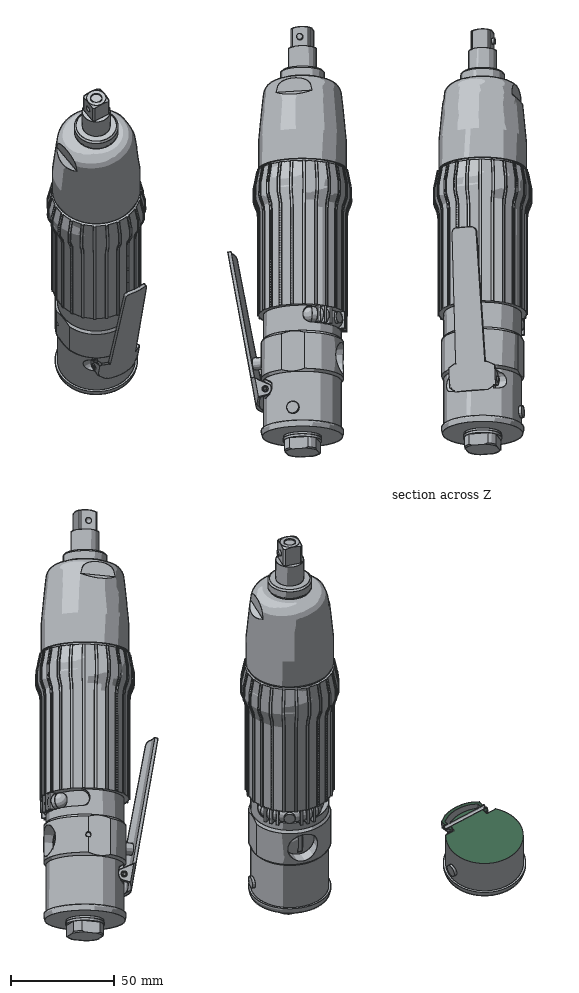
import cadquery as cq
import math

HEIGHT = 212.0
BODY_R = 18.9
BAND_R = 20.0
GRIP_R = 21.2
BULGE_R = 23.3
BULGE_FLARE = 0.5
BULGE_SHOULDER_DROP = 0.5
RIB_HEIGHT = 0.53
RIB_WIDTH = 1.3
RIB_COUNT = 23
OVERLAP = 1.0

INLET_SQUARE_TOP = 5.7
INLET_TOP = 8.0
FLANGE_TOP = 11.0
BAND_BOTTOM = 35.5
BAND_TOP = 56.2
GRIP_BOTTOM = 68.7
GRIP_TOP = 117.5
BULGE_BOTTOM = 120.8
LOWER_SHOULDER = 124.0
CROWN_BOTTOM = 127.8
CROWN_TOP = 131.2
UPPER_SHOULDER = 133.7
BULGE_TOP = 140.3
NOSE_BOTTOM = 141.5
TAPER_BOTTOM = 156.2
TAPER_TOP = 179.0
NOSE_TOP = 185.0
COLLAR_TOP = 190.7
SHAFT_TOP = 201.7

INLET_R = 9.1
INLET_END_R = 8.5
INLET_COLLAR_R = 9.3
INLET_COLLAR_TOP = 7.0
INLET_SQUARE = 15.7
DRIVE_R = 6.1
DRIVE_END_R = 4.7
DRIVE_SQUARE = 9.5
END_CHAMFER = 0.6
DRIVE_DIMPLE_R = 2.8
DRIVE_DIMPLE_DEPTH = 0.6
DETENT_R = 1.5
DETENT_Z = 206.5
DETENT_REACH = 1.3

SHAFT_R = 6.8
COLLAR_R = 10.5
COLLAR_CHAMFER = 0.8
COLLAR_FOOT_R = 10.0
COLLAR_FOOT_TOP = 186.0
NOSE_FACE_R = 13.1
NOSE_SHOULDER_R = 18.9
NOSE_MID_R = 20.1
NECK_R = 20.3
SPANNER_FLAT_Y = 17.0
SPANNER_FLAT_Z = 176.3
SPANNER_LEDGE_SLOPE = 40.0

BAND_CHAMFER = 1.3
BAND_FLAT_Y = 19.0
FLANGE_CHAMFER = 0.53
FLANGE_CHAMFER_Z = 2.0
BAND_Z = (BAND_BOTTOM + BAND_TOP) / 2
VALVE_BORE_R = 7.6
VALVE_FLOOR_X = 13.5
VALVE_DOME_RISE = 2.1
VALVE_SLOT_LENGTH = 11.9
VALVE_SLOT_WIDTH = 2.3
VALVE_SLOT_DEPTH = 1.7
MARK_R = 1.3
MARK_DEPTH = 1.7
BUTTON_R = 3.0
BUTTON_END_X = 24.2
EXHAUST_STUD_R = 3.0
EXHAUST_STUD_Z = 17.5
EXHAUST_STUD_REACH = 1.3

SLOT_HEIGHT = 8.3
SLOT_Z = GRIP_BOTTOM - SLOT_HEIGHT / 2
SLOT_END_R = 4.0
SLOT_FLOOR_R = 16.5
SLOT_START = 117.0
SLOT_END = 243.0
SLIDER_END = 203.0
SLIDER_RIB_R = 21.5
SLIDER_RIB_ANGLES = (16, 25, 34)
SLIDER_RIB_WIDTH = 1.3
SLIDER_KNOB_R = 2.8

PIVOT_X = 15.7
PIVOT_Z = 29.9
LEVER_TILT = 10.25
LEVER_BACK = 7.8
LEVER_BOTTOM = -5.5
LEVER_TIP = 74.2
LEVER_THICKNESS = 1.7
LEVER_CROWN = 1.3
LEVER_BASE_HALF = 7.5
LEVER_TIP_HALF = 6.0
LEVER_TIP_FILLET = 2.5
EAR_FACE = 11.5
EAR_BEND = 4.0
EAR_R = 3.0
EAR_SLOPE = 120.0
CHANNEL_TOP = 8.3
POCKET_GAP = 1.3
PIN_R = 1.5
PIN_BORE_R = 0.8
PIN_REACH = 12.0


def ring(r, bottom, top):
    """Cylinder on the tool axis between two levels."""
    return cq.Workplane("XY").workplane(offset=bottom).circle(r).extrude(top - bottom)


def radial_prism(sketch_radius, angle, z, inner, outer):
    """Round peg pointing outward at an angle from +X."""
    direction = cq.Vector(math.cos(math.radians(angle)), math.sin(math.radians(angle)), 0)
    start = direction * inner + cq.Vector(0, 0, z)
    return cq.Workplane(cq.Solid.makeCylinder(sketch_radius, outer - inner, start, direction))


def square_end(r, width, bottom, top, end_face, end_r):
    """Square stub whose corners are rounded by a chamfered cylinder."""
    square = cq.Workplane("XY").workplane(offset=bottom).rect(width, width).extrude(top - bottom)
    return ring(r, bottom, top).faces(end_face).chamfer(END_CHAMFER, r - end_r).intersect(square)


def trace_grip(path, lift):
    """Continue a path up the grip and over the hand stop, lifted off the surface by an amount."""
    flare = GRIP_R + BULGE_FLARE + lift
    shoulder = BULGE_R - BULGE_SHOULDER_DROP + lift
    crown = BULGE_R + lift
    return (
        path.lineTo(GRIP_R + lift, GRIP_BOTTOM)
        .lineTo(GRIP_R + lift, GRIP_TOP)
        .lineTo(flare, BULGE_BOTTOM)
        .lineTo(shoulder, LOWER_SHOULDER)
        .tangentArcPoint((crown, CROWN_BOTTOM), relative=False)
        .lineTo(crown, CROWN_TOP)
        .tangentArcPoint((shoulder, UPPER_SHOULDER), relative=False)
        .lineTo(flare, BULGE_TOP)
    )


def turned_body():
    """Everything turned about the tool axis, from the inlet shoulder to the top of the shaft."""
    taper_mid = (TAPER_BOTTOM + TAPER_TOP) / 2
    outline = (
        cq.Workplane("XZ")
        .moveTo(0, INLET_SQUARE_TOP)
        .lineTo(INLET_COLLAR_R, INLET_SQUARE_TOP)
        .lineTo(INLET_COLLAR_R, INLET_COLLAR_TOP)
        .lineTo(INLET_R, INLET_COLLAR_TOP)
        .lineTo(INLET_R, INLET_TOP)
        .lineTo(BAND_R - FLANGE_CHAMFER, INLET_TOP)
        .lineTo(BAND_R, INLET_TOP + FLANGE_CHAMFER_Z)
        .lineTo(BAND_R, FLANGE_TOP)
        .lineTo(BODY_R, FLANGE_TOP)
        .lineTo(BODY_R, BAND_BOTTOM)
        .lineTo(BAND_R, BAND_BOTTOM + BAND_CHAMFER)
        .lineTo(BAND_R, BAND_TOP - BAND_CHAMFER)
        .lineTo(BODY_R, BAND_TOP)
        .lineTo(BODY_R, GRIP_BOTTOM)
    )
    outline = (
        trace_grip(outline, 0)
        .lineTo(NECK_R, BULGE_TOP)
        .lineTo(NECK_R, NOSE_BOTTOM)
        .lineTo(GRIP_R, NOSE_BOTTOM)
        .lineTo(GRIP_R, TAPER_BOTTOM)
        .threePointArc((NOSE_MID_R, taper_mid), (NOSE_SHOULDER_R, TAPER_TOP))
        .tangentArcPoint((NOSE_FACE_R, NOSE_TOP), relative=False)
        .lineTo(COLLAR_FOOT_R, NOSE_TOP)
        .lineTo(COLLAR_FOOT_R, COLLAR_FOOT_TOP)
        .lineTo(COLLAR_R, COLLAR_FOOT_TOP)
        .lineTo(COLLAR_R, COLLAR_TOP - COLLAR_CHAMFER)
        .lineTo(COLLAR_R - COLLAR_CHAMFER, COLLAR_TOP)
        .lineTo(SHAFT_R, COLLAR_TOP)
        .lineTo(SHAFT_R, SHAFT_TOP)
        .lineTo(0, SHAFT_TOP)
        .close()
    )
    return outline.revolve(360, (0, 0, 0), (0, 1, 0))


def grip_ribs():
    """Thin ribs along the grip and over the hand stop."""
    root = GRIP_R - OVERLAP
    blade = (
        trace_grip(cq.Workplane("XZ").moveTo(root, GRIP_BOTTOM), RIB_HEIGHT)
        .lineTo(root, BULGE_TOP)
        .close()
        .extrude(RIB_WIDTH / 2, both=True)
    )
    ribs = cq.Workplane("XY")
    for i in range(RIB_COUNT):
        ribs = ribs.add(blade.rotate((0, 0, 0), (0, 0, 1), 90 + i * 360 / RIB_COUNT))
    return ribs


def curved_slot(inner, outer, start, end):
    """Ring segment with rounded ends, bent around the tool axis at the slot's level."""
    middle_r = (inner + outer) / 2
    tip = math.degrees(SLOT_HEIGHT / 2 / BODY_R)
    return (
        cq.Workplane("XZ")
        .center(middle_r, SLOT_Z)
        .rect(outer - inner, SLOT_HEIGHT)
        .revolve(end - start + 2 * tip, (-middle_r, 0, 0), (-middle_r, 1, 0))
        .edges("#Z and %LINE")
        .fillet(SLOT_END_R)
        .rotate((0, 0, 0), (0, 0, 1), start - tip)
    )


def slider():
    """Reversing slider: a rounded bar on the slot floor, with finger ribs and a round knob."""
    bar = (
        cq.Workplane("XZ")
        .center(SLOT_FLOOR_R, SLOT_Z)
        .circle(SLOT_HEIGHT / 2)
        .revolve(SLIDER_END - SLOT_START, (-SLOT_FLOOR_R, 0, 0), (-SLOT_FLOOR_R, 1, 0))
        .rotate((0, 0, 0), (0, 0, 1), SLOT_START)
    )
    for angle in (SLOT_START, SLIDER_END):
        end_ball = cq.Workplane("XY").sphere(SLOT_END_R).translate((SLOT_FLOOR_R, 0, SLOT_Z))
        bar = bar.union(end_ball.rotate((0, 0, 0), (0, 0, 1), angle))
    bar = bar.cut(ring(SLOT_FLOOR_R, SLOT_Z - SLOT_HEIGHT, SLOT_Z + SLOT_HEIGHT))
    middle = (SLOT_START + SLIDER_END) / 2
    rib_length = SLIDER_RIB_R - SLOT_FLOOR_R
    rib = cq.Workplane("XY").box(rib_length, SLIDER_RIB_WIDTH, SLOT_HEIGHT)
    rib = rib.translate(((SLIDER_RIB_R + SLOT_FLOOR_R) / 2, 0, SLOT_Z))
    for offset in SLIDER_RIB_ANGLES:
        for side in (-1, 1):
            bar = bar.union(rib.rotate((0, 0, 0), (0, 0, 1), middle + side * offset))
    return bar.union(radial_prism(SLIDER_KNOB_R, middle, SLOT_Z, SLOT_FLOOR_R, SLIDER_RIB_R))


def spanner_cut(side):
    """Spanner flat on one side of the nose, with a ledge that slopes down outward."""
    ledge_drop = (GRIP_R - SPANNER_FLAT_Y) * math.tan(math.radians(SPANNER_LEDGE_SLOPE))
    return (
        cq.Workplane("YZ")
        .moveTo(side * SPANNER_FLAT_Y, NOSE_TOP)
        .lineTo(side * SPANNER_FLAT_Y, SPANNER_FLAT_Z)
        .lineTo(side * GRIP_R, SPANNER_FLAT_Z - ledge_drop)
        .lineTo(side * GRIP_R, NOSE_TOP)
        .close()
        .extrude(GRIP_R, both=True)
    )


def valve_bore():
    """Bore on the -X side whose floor is a slotted dome."""
    dome_r = (VALVE_BORE_R ** 2 + VALVE_DOME_RISE ** 2) / (2 * VALVE_DOME_RISE)
    apex = VALVE_FLOOR_X + VALVE_DOME_RISE
    dome = cq.Workplane("XY").sphere(dome_r).translate((dome_r - apex, 0, BAND_Z))
    slot = (
        cq.Workplane("XY")
        .box(VALVE_SLOT_DEPTH, VALVE_SLOT_WIDTH, VALVE_SLOT_LENGTH)
        .translate((VALVE_SLOT_DEPTH / 2 - apex, 0, BAND_Z))
    )
    return radial_prism(VALVE_BORE_R, 180, BAND_Z, VALVE_FLOOR_X, GRIP_R).cut(dome).union(slot)


def ear_outline(gap):
    """Side outline of the lever foot around the pivot, grown by a gap."""
    r = EAR_R + gap
    slope = math.radians(EAR_SLOPE)
    return (
        cq.Workplane("XZ")
        .moveTo(LEVER_BACK + gap, LEVER_BOTTOM - gap)
        .lineTo(LEVER_BACK + gap, CHANNEL_TOP + gap)
        .lineTo(LEVER_BACK - LEVER_THICKNESS - 2 * gap, CHANNEL_TOP + gap)
        .lineTo(r * math.cos(slope), r * math.sin(slope))
        .threePointArc((-r, 0), (0, -r))
        .lineTo(EAR_BEND, -r)
        .lineTo(LEVER_BACK - LEVER_THICKNESS, LEVER_BOTTOM - gap)
        .close()
        .extrude(BULGE_R, both=True)
    )


def place_lever(shape):
    """Tilt a shape drawn around the pivot and move it onto the housing."""
    return shape.rotate((0, 0, 0), (0, 1, 0), LEVER_TILT).translate((PIVOT_X, 0, PIVOT_Z))


def pivot_rod(r):
    """Rod along the pivot axis, as long as the pin."""
    return (
        cq.Workplane("XZ").center(PIVOT_X, PIVOT_Z).circle(r).extrude(PIN_REACH, both=True)
    )


def build_housing():
    body = turned_body()
    body = body.union(square_end(INLET_R, INLET_SQUARE, 0, INLET_SQUARE_TOP, "<Z", INLET_END_R))
    body = body.union(square_end(DRIVE_R, DRIVE_SQUARE, SHAFT_TOP, HEIGHT, ">Z", DRIVE_END_R))
    body = body.cut(ring(DRIVE_DIMPLE_R, HEIGHT - DRIVE_DIMPLE_DEPTH, HEIGHT))

    drive_face = DRIVE_SQUARE / 2
    body = body.union(radial_prism(DETENT_R, 90, DETENT_Z, 0, drive_face + DETENT_REACH))
    dimple = cq.Workplane("XY").sphere(DETENT_R).translate((0, -drive_face, DETENT_Z))
    body = body.cut(dimple)

    for side in (-1, 1):
        body = body.cut(spanner_cut(side))
        band_cut = cq.Workplane("XY").box(2 * GRIP_R, GRIP_R, BAND_TOP - BAND_BOTTOM)
        body = body.cut(band_cut.translate((0, side * (BAND_FLAT_Y + GRIP_R / 2), BAND_Z)))

    body = body.cut(curved_slot(SLOT_FLOOR_R, GRIP_R, SLOT_START, SLOT_END))
    body = body.union(slider())

    body = body.cut(valve_bore())
    mark_angle = 270 - math.degrees(math.acos(BAND_FLAT_Y / BAND_R))
    body = body.cut(radial_prism(MARK_R, mark_angle, BAND_Z, BAND_R - MARK_DEPTH, GRIP_R))
    body = body.union(radial_prism(BUTTON_R, 0, BAND_Z, BODY_R - OVERLAP, BUTTON_END_X))
    stud_end = BODY_R + EXHAUST_STUD_REACH
    body = body.union(
        radial_prism(EXHAUST_STUD_R, 90, EXHAUST_STUD_Z, BODY_R - OVERLAP, stud_end)
    )

    ear_inner = EAR_FACE - LEVER_THICKNESS
    core = cq.Workplane("XY").box(4 * BULGE_R, 2 * ear_inner, HEIGHT).translate((0, 0, HEIGHT / 2))
    body = body.cut(place_lever(ear_outline(POCKET_GAP)).cut(core))
    body = body.union(pivot_rod(PIN_R)).cut(pivot_rod(PIN_BORE_R))

    return body.union(grip_ribs())


def crowned_bar(inset):
    """Solid behind the crowned back of the lever, set in by an amount."""
    edge = LEVER_BACK - LEVER_CROWN - inset
    half = LEVER_BASE_HALF
    return (
        cq.Workplane("XY")
        .moveTo(0, -half)
        .lineTo(edge, -half)
        .threePointArc((LEVER_BACK - inset, 0), (edge, half))
        .lineTo(0, half)
        .close()
        .extrude(LEVER_TIP)
    )


def channel(inset):
    """Solid inside the lever foot's cross-section, set in by an amount."""
    edge = LEVER_BACK - LEVER_CROWN - inset
    back_half = LEVER_BASE_HALF - inset / 2
    side = EAR_FACE - inset
    return (
        cq.Workplane("XY")
        .workplane(offset=LEVER_BOTTOM)
        .moveTo(-2 * EAR_R, -side)
        .lineTo(EAR_BEND - inset / 2, -side)
        .lineTo(edge, -back_half)
        .threePointArc((LEVER_BACK - inset, 0), (edge, back_half))
        .lineTo(EAR_BEND - inset / 2, side)
        .lineTo(-2 * EAR_R, side)
        .close()
        .extrude(CHANNEL_TOP - LEVER_BOTTOM)
    )


def build_lever():
    handle_outline = (
        cq.Workplane("YZ")
        .polyline(
            [
                (-LEVER_BASE_HALF, 0),
                (LEVER_BASE_HALF, 0),
                (LEVER_TIP_HALF, LEVER_TIP),
                (-LEVER_TIP_HALF, LEVER_TIP),
            ]
        )
        .close()
        .extrude(LEVER_BACK)
        .edges("|X and >Z")
        .fillet(LEVER_TIP_FILLET)
    )
    handle = crowned_bar(0).cut(crowned_bar(LEVER_THICKNESS)).intersect(handle_outline)
    foot = channel(0).cut(channel(LEVER_THICKNESS)).intersect(ear_outline(0))
    return place_lever(handle.union(foot)).cut(pivot_rod(PIN_R))


housing = build_housing()
lever = build_lever()
result = cq.Compound.makeCompound([housing.val(), lever.val()])